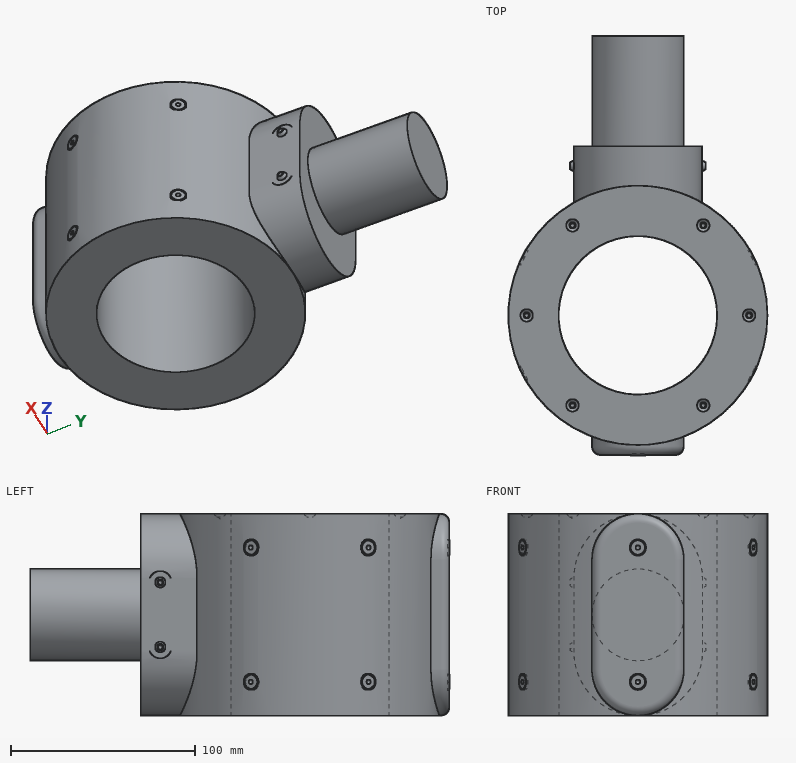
import cadquery as cq
import math

ring_radius = 70.5
bore_radius = 86.0 / 2
height = 110.0

collar_width = 69.8
collar_height = 109.7
collar_end = 91.9
tube_diameter = 50.0
tube_end = 151.8

pad_width = tube_diameter
pad_height = collar_height
pad_face = 76.0
pad_rounding = 4.8

flush_clearance_diameter = 9.0
flush_head_diameter = 7.8
flush_groove_depth = 1.1
flush_screw_level = 36.5
flush_screw_angle = 27.0
pad_head_proud = 0.2

socket_diameter = 2.5
socket_depth = 1.0

top_hole_circle_radius = 60.5
top_hole_angles = [0, 54, 126, 180, 234, 306]
countersink_diameter = 6.8
countersink_floor_diameter = 3.5
countersink_depth = 1.8

button_diameter = 5.7
button_top_diameter = 3.5
button_height = 2.0
button_dome_radius = 4.0
button_y = collar_end - 10.7
button_level = 17.5
boss_radius = 6.2


def frame(origin, outward):
    """Workplane at a point whose normal points out of the surface."""
    return cq.Workplane(cq.Plane(origin=origin, normal=outward))


def obround(width, length, start_y, end_y):
    """Upright obround bar running along Y between two Y positions."""
    plane = cq.Workplane("XZ", origin=(0, start_y, 0))
    return plane.slot2D(length, width, 90).extrude(start_y - end_y)


def placed(shape, face):
    """Move a shape modelled about the Z axis onto a face plane."""
    return cq.Workplane(shape.val().moved(face.plane.location))


def drive_recess(face, level):
    """Pointed cone cut down from a given level above the face."""
    profile = (
        cq.Workplane("XZ")
        .moveTo(0, level)
        .lineTo(socket_diameter / 2, level)
        .lineTo(0, level - socket_depth)
        .close()
    )
    return placed(profile.revolve(360, (0, 0), (0, 1)), face)


def flush_screw(body, centre, outward, head_proud=0.0):
    """Sink a flat-headed screw into the body, leaving a narrow gap round the head."""
    seat = frame(centre, outward).workplane(offset=-flush_groove_depth)
    hole = seat.circle(flush_clearance_diameter / 2).extrude(2 * flush_groove_depth)
    head = seat.circle(flush_head_diameter / 2).extrude(flush_groove_depth + head_proud)
    head = head.cut(drive_recess(seat, flush_groove_depth + head_proud))
    return body.cut(hole).union(head)


def button_screw(side, z):
    """Domed head on its round boss, on the +X (side 1) or -X (side -1) collar flat."""
    face = frame((side * collar_width / 2, button_y, z), (side, 0, 0))
    boss = face.circle(boss_radius).extrude(-collar_width / 4)
    profile = (
        cq.Workplane("XZ")
        .lineTo(button_diameter / 2, 0)
        .radiusArc((button_top_diameter / 2, button_height), -button_dome_radius)
        .lineTo(0, button_height)
        .close()
    )
    head = placed(profile.revolve(360, (0, 0), (0, 1)), face)
    return boss.union(head).cut(drive_recess(face, button_height))


def countersink(angle):
    """Conical recess sunk into the top face of the ring."""
    x = top_hole_circle_radius * math.cos(math.radians(angle))
    y = top_hole_circle_radius * math.sin(math.radians(angle))
    face = frame((x, y, height / 2), (0, 0, 1))
    cone = (
        face.circle(countersink_diameter / 2)
        .workplane(offset=-countersink_depth)
        .circle(countersink_floor_diameter / 2)
        .loft()
    )
    return cone.union(drive_recess(face, -countersink_depth))


ring = cq.Workplane("XY", origin=(0, 0, -height / 2)).circle(ring_radius).extrude(height)
collar = obround(collar_width, collar_height, 0, collar_end)
tube = cq.Workplane("XZ").circle(tube_diameter / 2).extrude(-tube_end)
pad = obround(pad_width, pad_height, 0, -pad_face).faces("<Y").edges().fillet(pad_rounding)
bore = cq.Workplane("XY", origin=(0, 0, -height / 2)).circle(bore_radius).extrude(height)
result = ring.union(collar).union(tube).union(pad).cut(bore)

for side in (1, -1):
    for z in (button_level, -button_level):
        result = result.union(button_screw(side, z))

for z in (flush_screw_level, -flush_screw_level):
    for base_angle in (0, 180):
        for angle in (base_angle - flush_screw_angle, base_angle + flush_screw_angle):
            direction = (math.cos(math.radians(angle)), math.sin(math.radians(angle)), 0)
            centre = (ring_radius * direction[0], ring_radius * direction[1], z)
            result = flush_screw(result, centre, direction)
    result = flush_screw(result, (0, -pad_face, z), (0, -1, 0), pad_head_proud)

for angle in top_hole_angles:
    result = result.cut(countersink(angle))